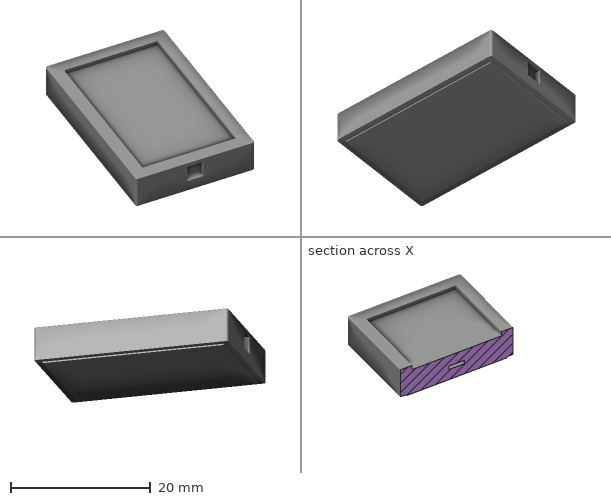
import cadquery as cq

length = 29.0
width = 19.0
height = 5.2

corner_radius = 0.32
top_edge_radius = 0.1

foot_height = 0.2
foot_inset = 1.0

window_margin = 2.0
window_depth = 0.75

port_size = 2.58
port_depth = 0.78
port_top_gap = 0.7
slot_height = 0.55
port_floor = height - port_top_gap - port_size


def make_body():
    body = cq.Workplane("XY").workplane(offset=foot_height)
    body = body.rect(length, width).extrude(height - foot_height)
    return body.edges("|Z").fillet(corner_radius).faces(">Z").edges().fillet(top_edge_radius)


def make_foot():
    foot_length = length - 2 * foot_inset
    foot_width = width - 2 * foot_inset
    return cq.Workplane("XY").rect(foot_length, foot_width).extrude(foot_height)


def make_window():
    window_length = length - 2 * window_margin
    window_width = width - 2 * window_margin
    window = cq.Workplane("XY").workplane(offset=height)
    return window.rect(window_length, window_width).extrude(-window_depth)


def make_port(side):
    """Square recess in the end wall on the given side of X (-1 or 1)."""
    port = cq.Workplane("XY").box(port_depth, port_size, port_size, centered=(True, True, False))
    return port.translate((side * (length - port_depth) / 2, 0, port_floor))


def make_slot():
    """Slot along the floor of the ports, open at both ends."""
    slot = cq.Workplane("XY").workplane(offset=port_floor)
    return slot.rect(length, port_size).extrude(slot_height)


result = make_body().union(make_foot()).cut(make_window()).cut(make_slot())
for side in (-1, 1):
    result = result.cut(make_port(side))